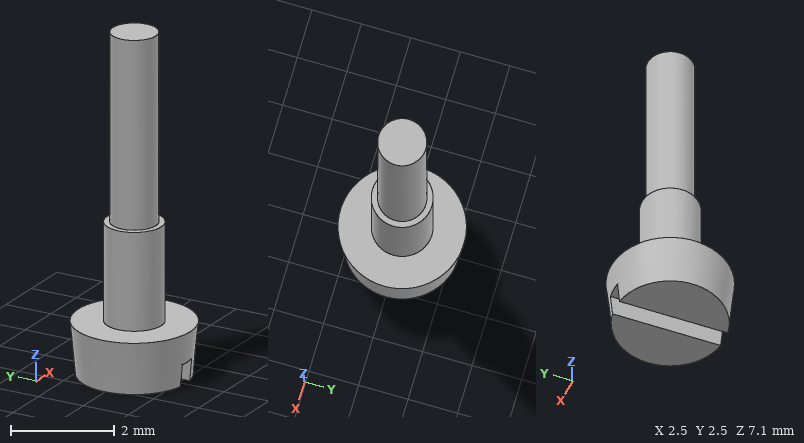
import cadquery as cq

total_length = 7.1

head_top_diameter = 2.5
head_bottom_diameter = 2.29
head_height = 1.11

collar_diameter = 1.2
collar_length = 2.05
pin_diameter = 0.96
pin_length = total_length - head_height - collar_length

slot_width = 0.36
slot_depth = 0.47


def make_head():
    """Cone frustum that widens toward the collar."""
    return (
        cq.Workplane("XY")
        .circle(head_bottom_diameter / 2)
        .workplane(offset=head_height)
        .circle(head_top_diameter / 2)
        .loft(ruled=True)
    )


def make_slot():
    """Rectangular cutter that passes right through the head."""
    return cq.Workplane("XY").box(
        slot_width, head_top_diameter, slot_depth, centered=(True, True, False)
    )


slotted_head = make_head().cut(make_slot())

result = (
    slotted_head.faces(">Z")
    .workplane()
    .circle(collar_diameter / 2)
    .extrude(collar_length)
    .faces(">Z")
    .workplane()
    .circle(pin_diameter / 2)
    .extrude(pin_length)
)